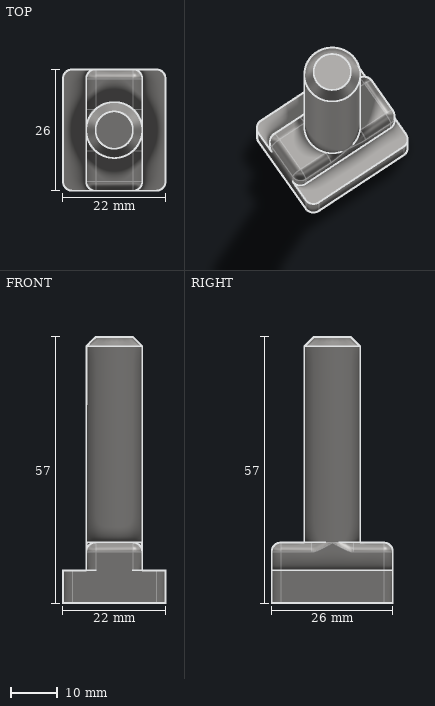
import cadquery as cq
import math

base_width = 22.0
base_length = 26.0
base_height = 7.0

shank_diameter = 12.0
shank_radius = shank_diameter / 2
rib_width = shank_diameter
rib_top = 13.0
total_height = 57.0

tip_chamfer = 2.0
edge_radius = 2.0

round_center_x = rib_width / 2 - edge_radius
runout_length = math.sqrt(shank_radius**2 - round_center_x**2)

runout_rows = 24
runout_columns = 12
fit_tolerance = 1e-6
cut_tolerance = 1e-3


def make_block(width, length, height):
    """Block standing on the XY plane, centred on the Z axis."""
    return cq.Workplane("XY").box(width, length, height, centered=(True, True, False))


def make_base():
    """Plate with rounded vertical corners."""
    return make_block(base_width, base_length, base_height).edges("|Z").fillet(edge_radius)


def runout_point(row, column):
    """Point of the run-out surface in the +X +Y quadrant.

    Each row is a quarter arc of edge_radius touching the rib side. The arc rises towards
    the middle of the rib so that it always reaches the rib top on the shank outline.
    """
    y = runout_length * row / (runout_rows - 1)
    angle = math.pi / 2 * column / (runout_columns - 1)
    shank_x = math.sqrt(shank_radius**2 - y**2)
    rise = math.sqrt(max(edge_radius**2 - (shank_x - round_center_x) ** 2, 0.0))
    x = round_center_x + edge_radius * math.sin(angle)
    z = rib_top - rise + edge_radius * math.cos(angle)
    return cq.Vector(x, y, z)


def make_runout_cutter():
    """Solid above and outside the run-out surface in the +X +Y quadrant."""
    columns = range(runout_columns)
    points = [[runout_point(row, column) for column in columns] for row in range(runout_rows)]
    surface = cq.Face.makeSplineApprox(points, tol=fit_tolerance)
    outward = cq.Vector(edge_radius, 0, edge_radius)
    return cq.Workplane(cq.Solid.extrudeLinear(surface, outward))


def make_rib():
    """Rounded rib whose side roundings run out to nothing beside the shank."""
    rib = make_block(rib_width, base_length, rib_top).edges("|Z or >Z").fillet(edge_radius)
    rib = rib.union(make_block(rib_width, 2 * runout_length, rib_top))
    cutter = make_runout_cutter()
    for side_cutter in (cutter, cutter.mirror("YZ")):
        rib = rib.cut(side_cutter, tol=cut_tolerance)
        rib = rib.cut(side_cutter.mirror("XZ"), tol=cut_tolerance)
    return rib


def make_shank():
    """Round shank with a chamfered tip, standing on the rib."""
    shank = cq.Workplane("XY").workplane(offset=rib_top).circle(shank_radius).extrude(total_height - rib_top)
    return shank.faces(">Z").chamfer(tip_chamfer)


result = make_base().union(make_rib()).union(make_shank())